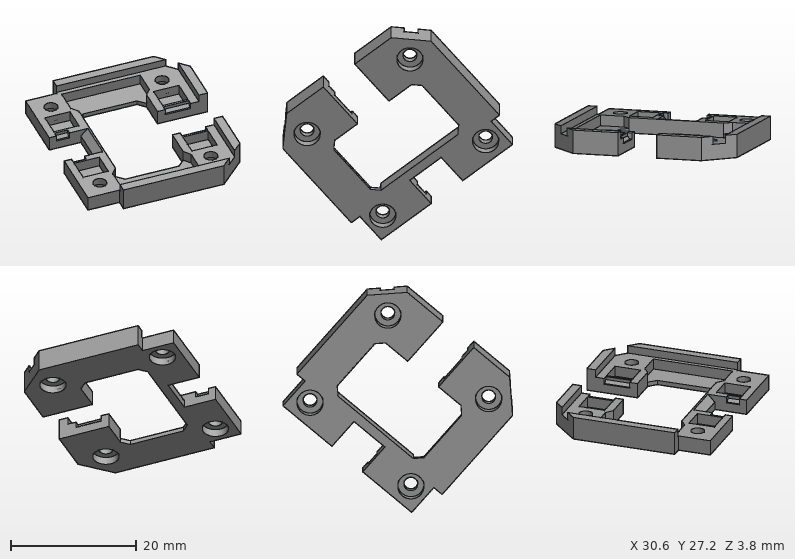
import cadquery as cq

WIDTH = 30.62
DEPTH = 27.22
HEIGHT = 3.8
HALF_WIDTH = WIDTH / 2
BACK = DEPTH / 2
FRONT = -BACK

PLATE_TOP = 2.5
BACK_CHAMFER = 4.53
FRONT_HALF_WIDTH = 13.55
SHOULDER_Y = FRONT + 5.42

SIDE_RIM_WIDTH = 1.5
BACK_RIM_WIDTH = 1.5

WINDOW_HALF_WIDTH = 9.12
WINDOW_BACK = BACK - 8.65
WINDOW_FRONT = FRONT + 6.95
WINDOW_CHAMFER = 1.2
GAP_HALF_WIDTH = 3.25

BRIDGE_TOP_WIDTH = 0.35
BRIDGE_SLOPE = 1.2

RECESS_FLOOR = 0.77
RECESS_HALF_WIDTH = 13.07
RECESS_BACK = BACK - 7.72
RECESS_FRONT = FRONT + 6.0

HOLE_DIAMETER = 2.2
COUNTERBORE_DIAMETER = 4.2
COUNTERBORE_DEPTH = 1.35
HOLE_X = 10.63
HOLE_BACK_Y = BACK - 4.93
HOLE_FRONT_Y = FRONT + 3.2

POCKET_INNER_X = 4.4
POCKET_OUTER_X = 8.33
BACK_POCKET_Y = (BACK - 7.3, BACK - 2.95)
FRONT_POCKET_Y = (FRONT + 1.25, FRONT + 5.57)

NOTCH_DEPTH = 1.0
NOTCH_WIDTH = 0.8
NOTCH_RAMP = 0.5
FRONT_NOTCH_LENGTH = 2.2
BACK_NOTCH_Y = BACK_POCKET_Y
FRONT_NOTCH_Y = (FRONT_POCKET_Y[0], FRONT_POCKET_Y[0] + FRONT_NOTCH_LENGTH)


def block(x_range, y_range, z_range):
    """Axis-aligned box between the given limits."""
    limits = (x_range, y_range, z_range)
    sizes = [high - low for low, high in limits]
    corner = tuple(low for low, high in limits)
    return cq.Workplane("XY").box(*sizes, centered=False).translate(corner)


def both_sides(right_half):
    """A right-hand solid together with its mirror image in the YZ plane."""
    return right_half.union(right_half.mirror("YZ"))


def outer_body():
    """Full-height block with chamfered back corners and a narrower front."""
    right_outline = [
        (0, FRONT),
        (FRONT_HALF_WIDTH, FRONT),
        (FRONT_HALF_WIDTH, SHOULDER_Y),
        (HALF_WIDTH, SHOULDER_Y),
        (HALF_WIDTH, BACK - BACK_CHAMFER),
        (HALF_WIDTH - BACK_CHAMFER, BACK),
        (0, BACK),
    ]
    right_half = cq.Workplane("XY").polyline(right_outline).close().extrude(HEIGHT)
    return both_sides(right_half)


def space_inside_rim():
    """Space above the plate, leaving the rim along the sides and back."""
    inner_x = HALF_WIDTH - SIDE_RIM_WIDTH
    return block((-inner_x, inner_x), (FRONT, BACK - BACK_RIM_WIDTH), (PLATE_TOP, HEIGHT))


def window():
    """Through opening with four chamfered corners."""
    return block(
        (-WINDOW_HALF_WIDTH, WINDOW_HALF_WIDTH), (WINDOW_FRONT, WINDOW_BACK), (0, HEIGHT)
    ).edges("|Z").chamfer(WINDOW_CHAMFER)


def back_gap():
    """Through gap from the window to the back edge."""
    return block((-GAP_HALF_WIDTH, GAP_HALF_WIDTH), (WINDOW_BACK - WINDOW_CHAMFER, BACK), (0, HEIGHT))


def front_gap():
    """Gap in the front edge, ending at the sloped front of the bridge."""
    slope_top_y = WINDOW_FRONT - BRIDGE_TOP_WIDTH
    bridge_face_y = slope_top_y - BRIDGE_SLOPE
    profile = [
        (FRONT, 0),
        (bridge_face_y, 0),
        (bridge_face_y, PLATE_TOP - BRIDGE_SLOPE),
        (slope_top_y, PLATE_TOP),
        (FRONT, PLATE_TOP),
    ]
    return cq.Workplane("YZ").polyline(profile).close().extrude(GAP_HALF_WIDTH, both=True)


def side_recesses():
    """Recesses that open into the window and flare to meet its corner chamfers."""
    tip_x = WINDOW_HALF_WIDTH - WINDOW_CHAMFER
    outline = [
        (tip_x, WINDOW_FRONT),
        (WINDOW_HALF_WIDTH, RECESS_FRONT),
        (RECESS_HALF_WIDTH, RECESS_FRONT),
        (RECESS_HALF_WIDTH, RECESS_BACK),
        (WINDOW_HALF_WIDTH, RECESS_BACK),
        (tip_x, WINDOW_BACK),
    ]
    floor = cq.Workplane("XY").workplane(offset=RECESS_FLOOR)
    return both_sides(floor.polyline(outline).close().extrude(PLATE_TOP - RECESS_FLOOR))


def screw_holes():
    """Four through holes near the corners, each with a counterbore in the underside."""
    centres = [(x, y) for x in (-HOLE_X, HOLE_X) for y in (HOLE_FRONT_Y, HOLE_BACK_Y)]
    underside = cq.Workplane("XY").pushPoints(centres)
    holes = underside.circle(HOLE_DIAMETER / 2).extrude(PLATE_TOP)
    counterbores = underside.circle(COUNTERBORE_DIAMETER / 2).extrude(COUNTERBORE_DEPTH)
    return holes.union(counterbores)


def pockets(y_range):
    """Pair of rectangular pockets, level with the floors of the side recesses."""
    return both_sides(block((POCKET_INNER_X, POCKET_OUTER_X), y_range, (RECESS_FLOOR, PLATE_TOP)))


def gap_notches(y_range):
    """Pair of notches in the gap edges: a flat ledge, then a ramp up to the back wall."""
    start_y, end_y = y_range
    back_x = GAP_HALF_WIDTH + NOTCH_WIDTH
    ledge_z = PLATE_TOP - NOTCH_DEPTH
    profile = [
        (GAP_HALF_WIDTH, PLATE_TOP),
        (GAP_HALF_WIDTH, ledge_z),
        (back_x - NOTCH_RAMP, ledge_z),
        (back_x, ledge_z + NOTCH_RAMP),
        (back_x, PLATE_TOP),
    ]
    section = cq.Workplane("XZ", origin=(0, end_y, 0)).polyline(profile).close()
    return both_sides(section.extrude(end_y - start_y))


result = (
    outer_body()
    .cut(space_inside_rim())
    .cut(window())
    .cut(back_gap())
    .cut(front_gap())
    .cut(side_recesses())
    .cut(screw_holes())
)
for pocket_range in (BACK_POCKET_Y, FRONT_POCKET_Y):
    result = result.cut(pockets(pocket_range))
for notch_range in (BACK_NOTCH_Y, FRONT_NOTCH_Y):
    result = result.cut(gap_notches(notch_range))